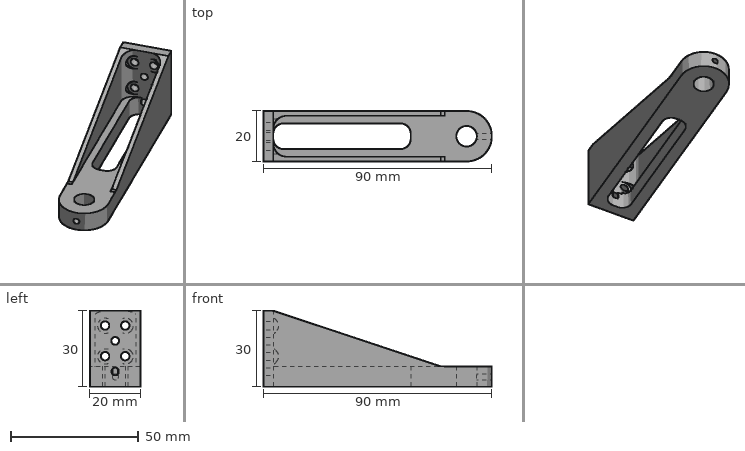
import cadquery as cq

length = 90.0
width = 20.0
height = 30.0
plate_thickness = 8.0
end_wall = 4.0
side_wall = 2.0
pocket_corner_radius = 5.0

slope_end_x = 69.75
rib_end_x = 71.4
rib_end_step = 0.1

window_end_x = 58.0
window_width = 10.0
window_corner_radius = 4.0

eye_diameter = 8.0
tip_hole_diameter = 2.4
screw_diameter = 3.2
centre_hole_diameter = 3.0
head_clearance_diameter = 6.0
hole_pitch = 6.0
screw_half_spacing = 4.0

eye_radius = width / 2
eye_x = length - eye_radius
rib_end_z = plate_thickness + rib_end_step


def rounded_box(x_start, x_end, box_width, z_start, z_end, corner_radius):
    """Box centred on Y = 0 with rounded vertical edges."""
    box = cq.Workplane("XY").box(x_end - x_start, box_width, z_end - z_start, centered=(False, True, False))
    return box.edges("|Z").fillet(corner_radius).translate((x_start, 0, z_start))


def hole_along_x(diameter, y, z, x_start, depth):
    """Cylinder that drills along +X from x_start."""
    start = cq.Vector(x_start, y, z)
    return cq.Workplane(cq.Solid.makeCylinder(diameter / 2, depth, start, cq.Vector(1, 0, 0)))


plate = (
    cq.Workplane("XY")
    .moveTo(0, -width / 2)
    .lineTo(eye_x, -width / 2)
    .threePointArc((length, 0), (eye_x, width / 2))
    .lineTo(0, width / 2)
    .close()
    .extrude(plate_thickness)
)

wedge = (
    cq.Workplane("XZ")
    .polyline([
        (0, 0),
        (0, height),
        (end_wall, height),
        (slope_end_x, rib_end_z),
        (rib_end_x, rib_end_z),
        (rib_end_x, 0),
    ])
    .close()
    .extrude(width / 2, both=True)
)

pocket = rounded_box(end_wall, length, width - 2 * side_wall, plate_thickness, height, pocket_corner_radius)
window = rounded_box(end_wall, window_end_x, window_width, 0, plate_thickness, window_corner_radius)
result = plate.union(wedge).cut(pocket).cut(window)

eye = cq.Workplane("XY").center(eye_x, 0).circle(eye_diameter / 2).extrude(plate_thickness)
result = result.cut(eye)
result = result.cut(hole_along_x(tip_hole_diameter, 0, plate_thickness / 2, eye_x, eye_radius))

for row in (1, 3):
    result = result.cut(hole_along_x(centre_hole_diameter, 0, row * hole_pitch, 0, end_wall))
for row in (2, 4):
    for side in (-1, 1):
        screw_y = side * screw_half_spacing
        screw_z = row * hole_pitch
        result = result.cut(hole_along_x(screw_diameter, screw_y, screw_z, 0, end_wall))
        head_clearance = hole_along_x(head_clearance_diameter, screw_y, screw_z, end_wall, pocket_corner_radius)
        result = result.cut(head_clearance)